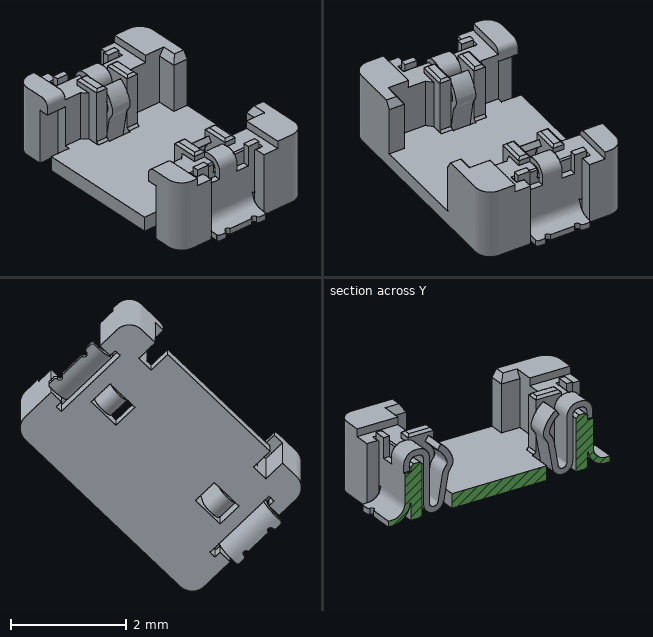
import cadquery as cq
import math

LENGTH = 4.66
DEPTH = 2.85
HEIGHT = 1.4
BACK = DEPTH / 2
FRONT = -BACK
CONTACT_Y = -0.105

FLOOR = 0.295
SHELF = 1.25
WALL_OUT = -2.195
WALL_IN = -1.355
CORNER_RADIUS = 0.3
BACK_STEP = 0.8
FRONT_STEP = -1.02
BACK_POST_IN = -0.975
BACK_POST_FRONT = 1.12
POST_BEVEL = 0.095
NOTCH_OUT = -1.555
NOTCH_TOP = 1.1
FLOOR_FRONT_EDGE = -1.255
OVERHANG_RADIUS = 0.15

COLUMN_IN = -1.05
COLUMN_WIDTH = 0.925
CAP_OUT = -1.58
CAP_CHAMFER = 0.045
COLUMN_FOOT = 0.045
GUSSET = 0.105

SPRING_SLOT_WIDTH = 0.46
SPRING_SLOT_IN = -0.975
CHANNEL_FLOOR = 1.1
CHANNEL_BEVEL = 0.055
WINDOW_WIDTH = 1.195
PANEL_SLOT_WIDTH = 1.445
MOUTH_CHAMFER = 0.03

STRIP = 0.12
PANEL_OUT = -1.945
PANEL_IN = PANEL_OUT + STRIP
PANEL_WIDTH = 1.395
PANEL_BOTTOM = 0.35
PANEL_TOP = 1.355
RELIEF_WIDTH = 0.905
RELIEF_FLOOR = 0.955
TONGUE_WIDTH = 0.395
FOOT_WIDTH = 1.1
FOOT_TIP = -LENGTH / 2
FOOT_MIDDLE = -2.285
FOOT_RADIUS = 0.05
FOOT_NOTCH_Y = 0.3
FOOT_BEND = 0.25
TONGUE_BEND_START = 1.1
TONGUE_BEND = 0.175
TONGUE_FLAT = 0.055
U_BEND = 0.15
U_CENTRE_Z = 0.22
LEG_LEAN = 10
LEG = 0.505
KNEE_BEND = 0.235
KNEE_ANGLE = 25
KNEE_FLAT = 0.065
BUMP_BEND = 0.13
BUMP_LEAN = 16
TIP_BEND = 0.555
TIP_ANGLE = 40


def box(x0, x1, y0, y1, z0, z1):
    return cq.Workplane("XY").box(x1 - x0, y1 - y0, z1 - z0, centered=False).translate((x0, y0, z0))


def contact_box(x0, x1, width, z0, z1):
    """Box centred on the contact along Y."""
    return box(x0, x1, CONTACT_Y - width / 2, CONTACT_Y + width / 2, z0, z1)


def contact_prism(profile, width):
    """Extrude an XZ profile to a width centred on the contact."""
    return profile.extrude(width / 2, both=True).translate((0, CONTACT_Y, 0))


def bent_strip(x, z, heading, steps):
    """XZ profile of a strip that starts at (x, z) on its middle line.

    Each step is (length, 0) for a flat or (middle radius, angle) for a bend;
    positive angles turn left. Headings are in degrees from +X toward +Z.
    """
    def edge_point(px, pz, direction, side):
        turn = math.radians(direction + 90)
        return (px + side * math.cos(turn) * STRIP / 2, pz + side * math.sin(turn) * STRIP / 2)

    stations = [(x, z, heading)]
    middles = []
    for size, angle in steps:
        travel = math.radians(heading)
        if angle == 0:
            x += size * math.cos(travel)
            z += size * math.sin(travel)
            middles.append(None)
        else:
            side = math.copysign(1, angle)
            centre_x = x - side * size * math.sin(travel)
            centre_z = z + side * size * math.cos(travel)

            def on_bend(direction):
                turned = math.radians(direction)
                return (centre_x + side * size * math.sin(turned),
                        centre_z - side * size * math.cos(turned), direction)

            middles.append(on_bend(heading + angle / 2))
            heading += angle
            x, z, heading = on_bend(heading)
        stations.append((x, z, heading))

    def trace(path, ends, bends, side):
        for end, bend in zip(ends, bends):
            if bend is None:
                path = path.lineTo(*edge_point(*end, side))
            else:
                path = path.threePointArc(edge_point(*bend, side), edge_point(*end, side))
        return path

    path = cq.Workplane("XZ").moveTo(*edge_point(*stations[0], 1))
    path = trace(path, stations[1:], middles, 1)
    path = path.lineTo(*edge_point(*stations[-1], -1))
    path = trace(path, stations[-2::-1], middles[::-1], -1)
    return path.close()


def end_wall():
    front = box(WALL_OUT, WALL_IN, FRONT, FRONT_STEP, 0, HEIGHT)
    front = front.edges("|Z and <X and <Y").fillet(CORNER_RADIUS)
    front = front.edges("|Y and >X and >Z").fillet(OVERHANG_RADIUS)
    front = front.cut(box(NOTCH_OUT, WALL_IN, FRONT, FRONT_STEP, 0, NOTCH_TOP))
    middle = box(WALL_OUT, WALL_IN, FRONT_STEP, BACK_STEP, 0, SHELF)
    back = box(WALL_OUT, WALL_IN, BACK_STEP, BACK, 0, HEIGHT)
    back = back.edges("|Z and <X and >Y").fillet(CORNER_RADIUS)
    return front.union(middle).union(back)


def back_post():
    post = box(WALL_IN, BACK_POST_IN, BACK_POST_FRONT, BACK, 0, HEIGHT)
    return post.faces(">Z").edges(">X or <Y").chamfer(HEIGHT - SHELF, POST_BEVEL)


def columns():
    half = COLUMN_WIDTH / 2
    block = contact_box(WALL_IN, COLUMN_IN, COLUMN_WIDTH, 0, SHELF)
    foot = (cq.Workplane("XZ").moveTo(COLUMN_IN, FLOOR).lineTo(COLUMN_IN + COLUMN_FOOT, FLOOR)
            .lineTo(COLUMN_IN, FLOOR + COLUMN_FOOT).close())
    gusset_in = WALL_IN + GUSSET
    gusset = (cq.Workplane("XY")
              .moveTo(WALL_IN, CONTACT_Y - half - GUSSET)
              .lineTo(gusset_in, CONTACT_Y - half)
              .lineTo(gusset_in, CONTACT_Y + half)
              .lineTo(WALL_IN, CONTACT_Y + half + GUSSET)
              .close().extrude(SHELF))
    block = block.union(contact_prism(foot, COLUMN_WIDTH)).union(gusset)
    for side in (-1, 1):
        inner, outer = sorted((CONTACT_Y + side * SPRING_SLOT_WIDTH / 2, CONTACT_Y + side * half))
        cap = box(CAP_OUT, COLUMN_IN, inner, outer, SHELF, HEIGHT)
        block = block.union(cap.faces(">Z").chamfer(CAP_CHAMFER))
    return block


def contact_openings():
    spring_slot = contact_box(CAP_OUT, SPRING_SLOT_IN, SPRING_SLOT_WIDTH, 0, HEIGHT)
    channel = (cq.Workplane("XZ")
               .moveTo(PANEL_IN, HEIGHT)
               .lineTo(PANEL_IN, CHANNEL_FLOOR - CHANNEL_BEVEL)
               .lineTo(PANEL_IN + CHANNEL_BEVEL, CHANNEL_FLOOR)
               .lineTo(CAP_OUT - CHANNEL_BEVEL, CHANNEL_FLOOR)
               .lineTo(CAP_OUT, CHANNEL_FLOOR - CHANNEL_BEVEL)
               .lineTo(CAP_OUT, HEIGHT).close())
    window = contact_box(WALL_OUT, PANEL_OUT, WINDOW_WIDTH, 0, HEIGHT)
    slot = contact_box(PANEL_OUT, PANEL_IN, PANEL_SLOT_WIDTH, 0, SHELF)
    mouth = (cq.Workplane("XY", origin=((PANEL_OUT + PANEL_IN) / 2, CONTACT_Y, SHELF - MOUTH_CHAMFER))
             .rect(STRIP, PANEL_SLOT_WIDTH)
             .workplane(offset=MOUTH_CHAMFER)
             .rect(STRIP + 2 * MOUTH_CHAMFER, PANEL_SLOT_WIDTH + 2 * MOUTH_CHAMFER)
             .loft(ruled=True))
    openings = spring_slot.union(contact_prism(channel, SPRING_SLOT_WIDTH))
    return openings.union(window).union(slot).union(mouth)


def contact_foot():
    bend_radius = FOOT_BEND + STRIP / 2
    flat = PANEL_OUT + STRIP / 2 - bend_radius - FOOT_MIDDLE
    rise = RELIEF_FLOOR - STRIP / 2 - bend_radius
    profile = bent_strip(FOOT_MIDDLE, STRIP / 2, 0, [(flat, 0), (bend_radius, 90), (rise, 0)])
    foot = contact_prism(profile, FOOT_WIDTH)
    for side in (-1, 1):
        notch_y = CONTACT_Y + side * FOOT_NOTCH_Y
        inner, outer = sorted((notch_y + side * FOOT_RADIUS, CONTACT_Y + side * FOOT_WIDTH / 2))
        toe = box(FOOT_TIP, WALL_OUT, inner, outer, 0, STRIP)
        foot = foot.union(toe.edges("|Z and <X").fillet(FOOT_RADIUS))
        foot = foot.cut(cq.Workplane("XY").center(FOOT_MIDDLE, notch_y).circle(FOOT_RADIUS).extrude(STRIP))
    return foot


def contact_panel():
    panel = contact_box(PANEL_OUT, PANEL_IN, PANEL_WIDTH, PANEL_BOTTOM, PANEL_TOP)
    return panel.cut(contact_box(PANEL_OUT, PANEL_IN, RELIEF_WIDTH, RELIEF_FLOOR, PANEL_TOP))


def contact_tongue():
    steps = [
        (TONGUE_BEND_START - RELIEF_FLOOR, 0),
        (TONGUE_BEND, -90),
        (TONGUE_FLAT, 0),
        (TONGUE_BEND, -90),
        (TONGUE_BEND_START - U_CENTRE_Z, 0),
        (U_BEND, 180 - LEG_LEAN),
        (LEG, 0),
        (KNEE_BEND, -KNEE_ANGLE),
        (KNEE_FLAT, 0),
        (BUMP_BEND, LEG_LEAN + KNEE_ANGLE + BUMP_LEAN),
        (TIP_BEND, TIP_ANGLE),
    ]
    return contact_prism(bent_strip(PANEL_OUT + STRIP / 2, RELIEF_FLOOR, 90, steps), TONGUE_WIDTH)


def left_half():
    floor = box(WALL_IN, 0, FRONT_STEP, BACK, 0, FLOOR)
    floor = floor.union(box(FLOOR_FRONT_EDGE, 0, FRONT, FRONT_STEP, 0, FLOOR))
    housing = floor.union(end_wall()).union(back_post()).union(columns())
    housing = housing.cut(contact_openings())
    return housing.union(contact_foot()).union(contact_panel()).union(contact_tongue())


left = left_half()
result = left.union(left.mirror("YZ"))